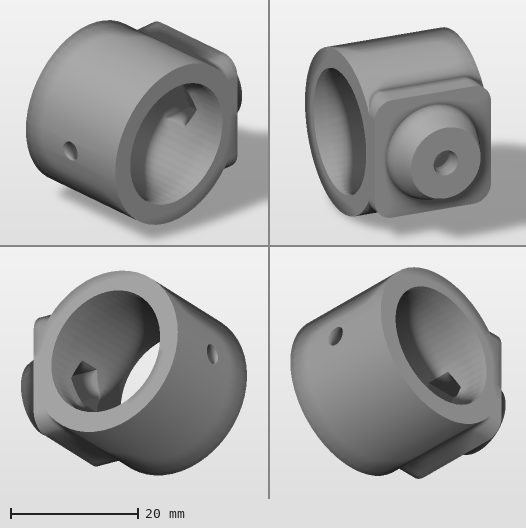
import cadquery as cq

tube_length = 20.0
tube_diameter = 27.0
bore_diameter = 20.4
tube_radius = tube_diameter / 2

pad_corner_radius = 3.0

overall_depth = 32
boss_base_diameter = 16
boss_tip_diameter = 12.0
boss_height = overall_depth - tube_diameter

front_hole_diameter = 3.2
boss_hole_diameter = 4.2
nut_across_corners = 8.55
nut_floor_y = 15.0


def plane_facing_y(y):
    """Plane at the given Y with its normal toward +Y."""
    return cq.Workplane("XZ", origin=(0, y, 0)).transformed(rotate=(180, 0, 0))


def make_tube():
    return cq.Workplane("YZ").circle(tube_radius).extrude(tube_length / 2, both=True)


def make_pad():
    pad = plane_facing_y(0).rect(tube_length, tube_length).extrude(tube_radius)
    return pad.edges("|Y").fillet(pad_corner_radius)


def make_boss():
    base = plane_facing_y(tube_radius).circle(boss_base_diameter / 2)
    return base.workplane(offset=boss_height).circle(boss_tip_diameter / 2).loft()


def make_bore():
    return cq.Workplane("YZ").circle(bore_diameter / 2).extrude(tube_length / 2, both=True)


def make_front_hole():
    return plane_facing_y(-tube_radius).circle(front_hole_diameter / 2).extrude(tube_radius)


def make_boss_hole():
    return plane_facing_y(0).circle(boss_hole_diameter / 2).extrude(tube_radius + boss_height)


def make_nut_pocket():
    return plane_facing_y(0).polygon(6, nut_across_corners).extrude(nut_floor_y)


body = make_tube().union(make_pad()).union(make_boss())
result = body.cut(make_bore()).cut(make_front_hole()).cut(make_boss_hole()).cut(make_nut_pocket())